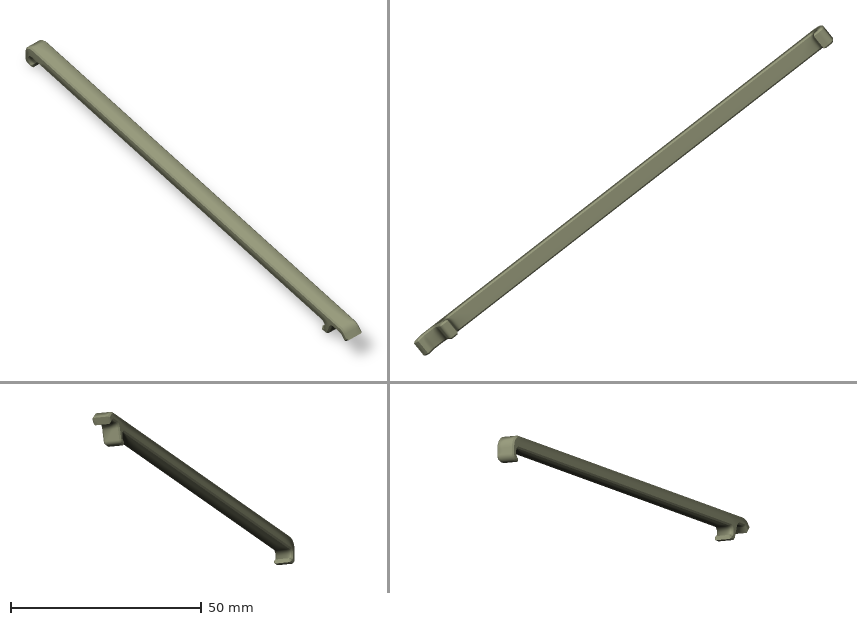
import cadquery as cq
import math

length = 137.3
width = 5.0
height = 7.0
edge_chamfer = 0.4

bar_bottom = 3.6
outer_bend_radius = 3.5
heel_radius = 1.6
hook_wall = 1.9
hook_lip_x = 3.2
hook_lip_height = 1.1
groove_radius = (bar_bottom - hook_lip_height) / 2
groove_mid_z = (bar_bottom + hook_lip_height) / 2

right_wall_x = 127.2
right_lip_x = right_wall_x + hook_wall - hook_lip_x
right_corner_x = 128.4
right_toe_radius = 1.1
back_angle = math.radians(70)
notch_radius = 1.6

tip_angle = math.radians(42)
tip_bend_x = 133.9
tip_bend_radius = 2.9
tip_thickness = 2.2
notch_z = height - tip_thickness
bend_center_z = height - tip_bend_radius


def bend_point(radius, angle):
    """Point on the tip bend, with the angle measured from straight up."""
    return (tip_bend_x + radius * math.sin(angle), bend_center_z + radius * math.cos(angle))


inner_bend_radius = tip_bend_radius - tip_thickness
outer_bend_end = bend_point(tip_bend_radius, tip_angle)
inner_bend_end = bend_point(inner_bend_radius, tip_angle)
tip_top = (length, outer_bend_end[1] - (length - outer_bend_end[0]) * math.tan(tip_angle))
tip_bottom = (
    tip_top[0] - tip_thickness * math.sin(tip_angle),
    tip_top[1] - tip_thickness * math.cos(tip_angle),
)

toe_setback = right_toe_radius * math.tan(back_angle / 2)
toe_x = right_corner_x - toe_setback
toe_start = (
    right_corner_x + toe_setback * math.cos(back_angle),
    toe_setback * math.sin(back_angle),
)
toe_mid = (
    toe_x + right_toe_radius * math.sin(back_angle / 2),
    right_toe_radius * (1 - math.cos(back_angle / 2)),
)

notch_corner_x = right_corner_x + notch_z / math.tan(back_angle)
notch_setback = notch_radius * math.tan(back_angle / 2)
notch_start_x = notch_corner_x + notch_setback
notch_mid = (
    notch_start_x - notch_radius * math.sin(back_angle / 2),
    notch_z - notch_radius * (1 - math.cos(back_angle / 2)),
)
notch_end = (
    notch_corner_x - notch_setback * math.cos(back_angle),
    notch_z - notch_setback * math.sin(back_angle),
)


def quarter_mid(center_x, center_z, radius, side_x, side_z):
    """Middle of a quarter arc lying in the quadrant given by the two signs."""
    offset = radius * math.sqrt(0.5)
    return (center_x + side_x * offset, center_z + side_z * offset)


bend_mid = quarter_mid(outer_bend_radius, height - outer_bend_radius, outer_bend_radius, -1, 1)
heel_mid = quarter_mid(heel_radius, heel_radius, heel_radius, -1, -1)

profile = (
    cq.Workplane("XZ", origin=(0, width / 2, 0))
    .moveTo(outer_bend_radius, height)
    .lineTo(tip_bend_x, height)
    .threePointArc(bend_point(tip_bend_radius, tip_angle / 2), outer_bend_end)
    .lineTo(*tip_top)
    .lineTo(*tip_bottom)
    .lineTo(*inner_bend_end)
    .threePointArc(bend_point(inner_bend_radius, tip_angle / 2), (tip_bend_x, notch_z))
    .lineTo(notch_start_x, notch_z)
    .threePointArc(notch_mid, notch_end)
    .lineTo(*toe_start)
    .threePointArc(toe_mid, (toe_x, 0))
    .lineTo(right_lip_x, 0)
    .lineTo(right_lip_x, hook_lip_height)
    .threePointArc((right_wall_x, groove_mid_z), (right_wall_x - groove_radius, bar_bottom))
    .lineTo(hook_wall + groove_radius, bar_bottom)
    .threePointArc((hook_wall, groove_mid_z), (hook_lip_x, hook_lip_height))
    .lineTo(hook_lip_x, 0)
    .lineTo(heel_radius, 0)
    .threePointArc(heel_mid, (0, heel_radius))
    .lineTo(0, height - outer_bend_radius)
    .threePointArc(bend_mid, (outer_bend_radius, height))
    .close()
)

result = profile.extrude(width).faces("<Y or >Y").chamfer(edge_chamfer)